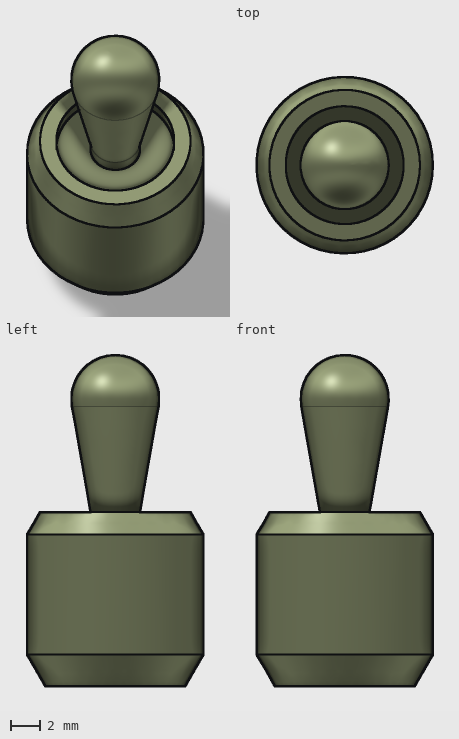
import cadquery as cq
import math

housing_diameter = 12.0
housing_height = 11.84
bevel_angle = math.radians(60)
bottom_bevel_height = 2.15
top_bevel_height = 1.53
recess_radius = 4.0
recess_depth = 1.0

total_height = 22.5
ball_diameter = housing_diameter / 2
neck_radius = 1.69
neck_height = 0.95

housing_radius = housing_diameter / 2
recess_floor = housing_height - recess_depth
cone_base = recess_floor + neck_height
ball_radius = ball_diameter / 2
ball_center = total_height - ball_radius


def make_housing():
    bottom_radius = housing_radius - bottom_bevel_height / math.tan(bevel_angle)
    top_radius = housing_radius - top_bevel_height / math.tan(bevel_angle)
    return (
        cq.Workplane("XZ")
        .moveTo(0, 0)
        .lineTo(bottom_radius, 0)
        .lineTo(housing_radius, bottom_bevel_height)
        .lineTo(housing_radius, housing_height - top_bevel_height)
        .lineTo(top_radius, housing_height)
        .lineTo(recess_radius, housing_height)
        .lineTo(recess_radius, recess_floor)
        .lineTo(0, recess_floor)
        .close()
        .revolve(360, (0, 0, 0), (0, 1, 0))
    )


def make_plunger():
    center_distance = math.hypot(neck_radius, ball_center - cone_base)
    tilt = math.asin(ball_radius / center_distance) - math.atan2(neck_radius, ball_center - cone_base)
    contact_radius = ball_radius * math.cos(tilt)
    contact_height = ball_center - ball_radius * math.sin(tilt)
    return (
        cq.Workplane("XZ")
        .moveTo(0, recess_floor)
        .lineTo(neck_radius, recess_floor)
        .lineTo(neck_radius, cone_base)
        .lineTo(contact_radius, contact_height)
        .threePointArc((ball_radius, ball_center), (0, total_height))
        .close()
        .revolve(360, (0, 0, 0), (0, 1, 0))
    )


housing = make_housing()
plunger = make_plunger()
result = cq.Compound.makeCompound([housing.val(), plunger.val()])